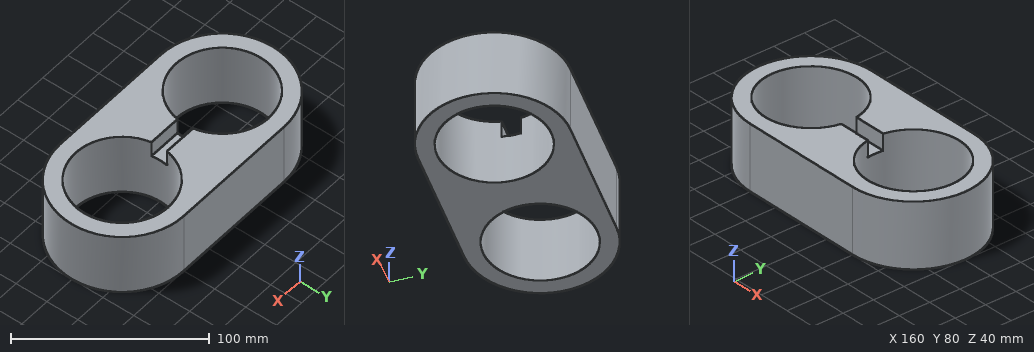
import cadquery as cq

length = 160.0
width = 80.0
height = 40.0
hole_diameter = 60.0

hole_spacing = length - width
wall = (width - hole_diameter) / 2
slot_width = wall
slot_depth = wall

body = cq.Workplane("XY").slot2D(length, width).extrude(height)

hole_centres = [(-hole_spacing / 2, 0), (hole_spacing / 2, 0)]
holes = cq.Workplane("XY").pushPoints(hole_centres).circle(hole_diameter / 2).extrude(height)

channel = (
    cq.Workplane("XY")
    .workplane(offset=height - slot_depth)
    .rect(hole_spacing, slot_width)
    .extrude(slot_depth)
)

result = body.cut(holes).cut(channel)